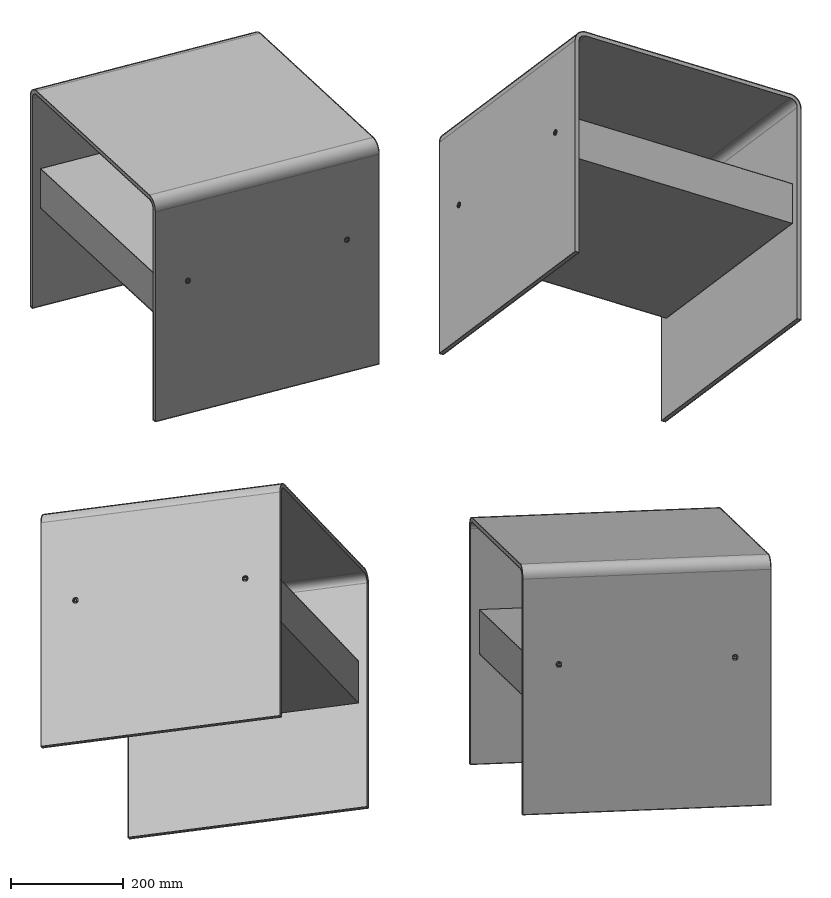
import cadquery as cq

overall_width = 477.0
stand_depth = 450.0
stand_height = 450.0

sheet_thickness = 8.0
bend_outer_radius = 23.0
bend_inner_radius = bend_outer_radius - sheet_thickness

head_height = 1.0
head_diameter = 10.0
socket_diameter = 5.0
socket_depth = 0.5
screw_spacing = 319.5
screw_z = 270.0

shelf_top_z = 280.0
shelf_thickness = 80.0
shelf_setback = 16.0

stand_width = overall_width - 2 * head_height
inner_width = stand_width - 2 * sheet_thickness
inner_height = stand_height - sheet_thickness
shelf_depth = stand_depth - 2 * shelf_setback


def arch(width, height, corner_radius):
    """Block standing on Z = 0, with its two top side edges rounded."""
    block = cq.Workplane("XY").box(width, stand_depth, height, centered=(True, True, False))
    return block.edges("|Y and >Z").fillet(corner_radius)


def make_stand():
    """Inverted U of constant thickness, open at the front, back and bottom."""
    outer = arch(stand_width, stand_height, bend_outer_radius)
    inner = arch(inner_width, inner_height, bend_inner_radius)
    return outer.cut(inner)


def make_shelf():
    """Plain block that fills the width between the legs."""
    shelf = cq.Workplane("XY").box(inner_width, shelf_depth, shelf_thickness)
    return shelf.translate((0, 0, shelf_top_z - shelf_thickness / 2))


def make_screw_head(side, y):
    """Flat round head with a round recess, on the outside of one leg; side is -1 or +1."""
    leg_face = cq.Workplane("YZ", origin=(side * stand_width / 2, y, screw_z))
    head = leg_face.circle(head_diameter / 2).extrude(side * head_height)
    head_face = cq.Workplane("YZ", origin=(side * overall_width / 2, y, screw_z))
    socket = head_face.circle(socket_diameter / 2).extrude(-side * socket_depth)
    return head.cut(socket)


stand = make_stand()
shelf = make_shelf()
screw_heads = []
for side in (-1, 1):
    for y in (-screw_spacing / 2, screw_spacing / 2):
        screw_heads.append(make_screw_head(side, y).val())

result = cq.Compound.makeCompound([stand.val(), shelf.val(), *screw_heads])